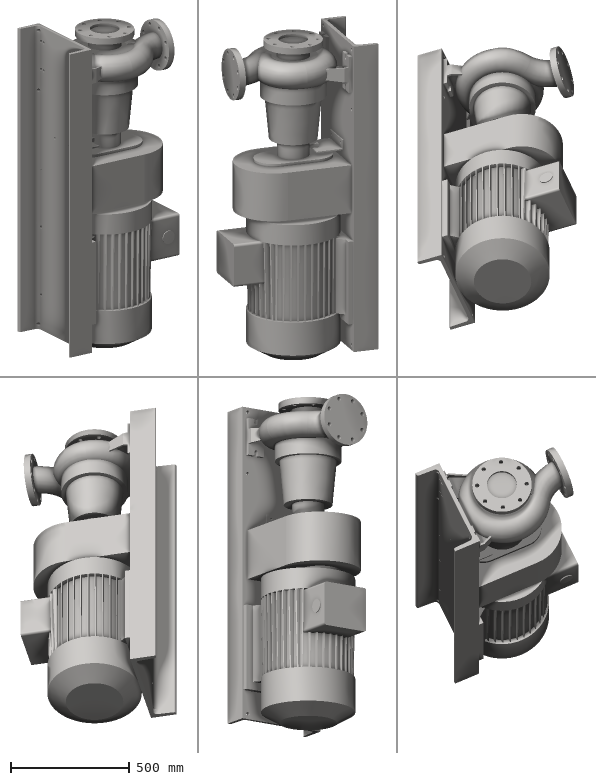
import cadquery as cq
import math


base_length = 1360.0
base_width = 399.0
base_depth = 110.0
web_thickness = 17.0
flange_root = 20.0
flange_tip = 15.0
root_fillet = 18.0
tip_fillet = 8.0

shaft_height = 200.0

guard_radius = 173.0
guard_center_y = 287.0
guard_bottom = 611.0
guard_top = 825.0
cover_thickness = 13.0
cover_radius = 86.0
cover_offset = guard_center_y - shaft_height

motor_radius = 200.0
fin_root_radius = 180.0
fin_end_radius = 193.0
fin_thickness = 4.0
fin_pitch = 9
drum_top = 593.0
fins_top = 502.0
fins_bottom = 159.0
cap_bottom = 11.0
motor_bottom = -35.0
motor_nose_radius = 121.0
motor_shaft_radius = 29.0

foot_bottom = 124.0
foot_top = 492.0
foot_half_width = 195.0
foot_thickness = 24.0
foot_shoulder_x = 162.0
foot_throat_x = 137.0
foot_throat_y = 57.0

box_left = -92.0
box_right = 121.0
box_low = 307.0
box_high = 500.0
box_bottom = 312.0
box_fillet = 11.0
gland_radius = 29.0
gland_length = 4.0
gland_y = 442.0

volute_z = 1230.0
tube_radius = 57.0
spiral_offset = 18.0
spiral_radius = 135.0
rise_radius = 142.0
rise_offset = spiral_offset + spiral_radius - rise_radius
throat_radius = spiral_radius - spiral_offset
throat_sweep = 120
hub_half_length = 52.0
outlet_bend_radius = 188.0

inlet_flange_radius = 125.0
inlet_bolt_radius = 105.0
inlet_top = 1356.0
inlet_bore_radius = 63.0
inlet_bore_depth = 13.0
inlet_neck_radius = 71.0
outlet_flange_radius = 110.0
outlet_bolt_radius = 90.0
outlet_face_y = 481.0
flange_thickness = 28.0
bolt_hole_diameter = 18.0
bolt_count = 8

collar_radius = 141.0
collar_bottom = 1106.0
cone_top_radius = 121.0
cone_bottom_radius = 103.0
cone_bottom = 917.0
spindle_radius = 68.0
spindle_bottom = 841.0

pad_outer_x = 180.0
pad_inner_x = 100.0
pad_thickness = 15.0
pad_length = 160.0
slot_x = 140.0
slot_width = 15.0
slot_spacing = 125.0
wall_thickness = 8.0
wall_knee_y = 36.0
wall_lean = 0.5
wall_top_y = 125.0
wall_base_half = 35.0
wall_top_half = 22.0
rib_inner_x = 80.0
rib_tip_x = 63.0
rib_tip_y = 33.0
foot_web_thickness = 14.0

bracket_half_width = 77.0
bracket_sheet = 5.0
bracket_bottom = 862.0
bracket_top = 907.0
bracket_reach = 121.0
lug_half_width = 21.0
lug_low_y = 92.0
lug_top = 885.0
bracket_hole_x = 55.0
bracket_hole_z = 890.0
bracket_hole_diameter = 10.0

edge_hole_x = 172.0
mount_hole_x = 159.0
base_holes = [
    (edge_hole_x, 1339.0, 15.0),
    (edge_hole_x, 1071.0, 14.0),
    (edge_hole_x, 22.0, 15.0),
    (mount_hole_x, 715.0, 7.0),
    (mount_hole_x, 460.0, 14.0),
    (mount_hole_x, 156.0, 14.0),
    (bracket_hole_x, bracket_hole_z, bracket_hole_diameter),
]
pump_hole_diameter = 14.0
for hole_z in (volute_z - slot_spacing / 2, volute_z + slot_spacing / 2):
    base_holes.append((slot_x, hole_z, pump_hole_diameter))
    base_holes.append((mount_hole_x, hole_z, pump_hole_diameter))


def disc(radius, bottom, top, x=0, y=shaft_height):
    """Round disc about a line parallel to Z."""
    return cq.Workplane("XY", origin=(x, y, bottom)).circle(radius).extrude(top - bottom)


def cone(bottom_radius, top_radius, bottom, top):
    """Cone frustum on the shaft line."""
    solid = cq.Solid.makeCone(
        bottom_radius, top_radius, top - bottom, cq.Vector(0, shaft_height, bottom)
    )
    return cq.Workplane(obj=solid)


def block(x0, x1, y0, y1, z0, z1):
    """Axis-aligned box between two corners."""
    return cq.Workplane("XY").box(x1 - x0, y1 - y0, z1 - z0, centered=False).translate((x0, y0, z0))


def drill_y(x, z, diameter, y0, y1):
    """Round cutter along Y."""
    solid = cq.Solid.makeCylinder(diameter / 2, y1 - y0, cq.Vector(x, y0, z), cq.Vector(0, 1, 0))
    return cq.Workplane(obj=solid)


def with_mirror(shape):
    """Shape joined with its copy across the X = 0 plane."""
    return shape.union(shape.mirror("YZ"))


def make_base():
    """Channel with tapered flanges pointing down and holes through its web."""
    half = base_width / 2
    outline = [
        (-half, 0),
        (half, 0),
        (half, -base_depth),
        (half - flange_tip, -base_depth),
        (half - flange_root, -web_thickness),
        (flange_root - half, -web_thickness),
        (flange_tip - half, -base_depth),
        (-half, -base_depth),
    ]
    base = cq.Workplane("XY").polyline(outline).close().extrude(base_length)
    for fillet, x, y in (
        (root_fillet, half - flange_root, -web_thickness),
        (tip_fillet, half - flange_tip, -base_depth),
    ):
        for side in (-1, 1):
            corner = cq.selectors.NearestToPointSelector((side * x, y, base_length / 2))
            base = base.edges("|Z").edges(corner).fillet(fillet)
    for x, z, diameter in base_holes:
        for side in (-1, 1):
            base = base.cut(drill_y(side * x, z, diameter, -base_depth, 0))
    return base


def make_guard():
    """Round-topped belt guard with a slot-shaped cover plate on each end."""
    height = guard_top - guard_bottom
    guard = disc(guard_radius, guard_bottom, guard_top, y=guard_center_y)
    guard = guard.union(
        block(-guard_radius, guard_radius, 0, guard_center_y, guard_bottom, guard_top)
    )
    cover = (
        cq.Workplane("XY", origin=(0, shaft_height, guard_bottom - cover_thickness))
        .slot2D(2 * (cover_offset + cover_radius), 2 * cover_radius, 90)
        .extrude(height + 2 * cover_thickness)
    )
    return guard.union(cover)


def make_fins():
    """Fins at equal angles, each one straight along X or Y, trimmed to a slight cone."""
    length = fins_top - fins_bottom
    first = fin_pitch / 2
    fins = disc(fin_root_radius, fins_bottom, fins_top)
    for step in range(round(90 / fin_pitch)):
        offset = motor_radius * math.sin(math.radians(first - 45 + step * fin_pitch))
        for width, height, x, y in (
            (2 * motor_radius, fin_thickness, 0, offset),
            (fin_thickness, 2 * motor_radius, offset, 0),
        ):
            fin = (
                cq.Workplane("XY", origin=(x, shaft_height + y, fins_bottom))
                .rect(width, height)
                .extrude(length)
            )
            fins = fins.union(fin)
    return fins.intersect(cone(fin_end_radius, motor_radius, fins_bottom, fins_top))


def make_motor_feet():
    """Foot plate across the motor, with shoulders sloping up to the finned body."""
    plate = block(-foot_half_width, foot_half_width, 0, foot_thickness, foot_bottom, foot_top)
    shoulder = [
        (-foot_shoulder_x, foot_thickness),
        (foot_shoulder_x, foot_thickness),
        (foot_throat_x, foot_throat_y),
        (-foot_throat_x, foot_throat_y),
    ]
    shoulders = (
        cq.Workplane("XY", origin=(0, 0, fins_bottom))
        .polyline(shoulder)
        .close()
        .extrude(foot_top - fins_bottom)
    )
    return plate.union(shoulders)


def make_terminal_box():
    """Terminal box with rounded long edges and a cable gland on its +X side."""
    box = block(box_left, box_right, box_low, box_high, box_bottom, fins_top)
    box = box.edges("|Y").fillet(box_fillet)
    gland_z = (box_bottom + fins_top) / 2
    gland = (
        cq.Workplane("YZ", origin=(box_right, gland_y, gland_z))
        .circle(gland_radius)
        .extrude(gland_length)
    )
    return box.union(gland)


def make_motor():
    """Finned motor with drum ends, tapered nose, feet, terminal box and shaft."""
    motor = disc(motor_radius, fins_top, drum_top)
    motor = motor.union(make_fins())
    motor = motor.union(disc(motor_radius, cap_bottom, fins_bottom))
    motor = motor.union(cone(motor_nose_radius, motor_radius, motor_bottom, cap_bottom))
    motor = motor.union(make_motor_feet())
    motor = motor.union(make_terminal_box())
    return motor.union(disc(motor_shaft_radius, drum_top, guard_bottom - cover_thickness))


def tube_bend(center_x, center_y, radius, start_angle, sweep):
    """Round tube bent about a line parallel to Z, turning counter-clockwise by sweep degrees."""
    bend = (
        cq.Workplane("XZ")
        .center(radius, 0)
        .circle(tube_radius)
        .revolve(sweep, (-radius, 0, 0), (-radius, 1, 0))
    )
    return bend.rotate((0, 0, 0), (0, 0, 1), start_angle).translate((center_x, center_y, volute_z))


def make_volute():
    """Snail-shaped tube whose outlet bends back to the upright flange."""
    center_distance = rise_radius + outlet_bend_radius
    join = math.degrees(math.acos((outlet_bend_radius - rise_offset) / center_distance))
    outlet_y = shaft_height + center_distance * math.sin(math.radians(join))
    spiral = tube_bend(spiral_offset, shaft_height, spiral_radius, 180, 180)
    rise = tube_bend(rise_offset, shaft_height, rise_radius, 0, join)
    outlet = tube_bend(outlet_bend_radius, outlet_y, outlet_bend_radius, 180, join)
    throat = tube_bend(0, shaft_height, throat_radius, 180 - throat_sweep, throat_sweep)
    hub = disc(
        spiral_radius, volute_z - hub_half_length, volute_z + hub_half_length, x=spiral_offset
    )
    return hub.union(throat).union(spiral).union(rise).union(outlet)


def make_flange(radius, bolt_radius):
    """Flange disc with a ring of bolt holes, centered on the origin and facing +Z."""
    return (
        cq.Workplane("XY")
        .circle(radius)
        .extrude(-flange_thickness)
        .faces(">Z")
        .workplane()
        .polarArray(bolt_radius, 180 / bolt_count, 360, bolt_count)
        .hole(bolt_hole_diameter)
    )


def make_pump_foot():
    """Slotted pad at -X with a tapered outer wall, an inner rib and a web up to the volute."""
    wall_top_x = pad_outer_x - wall_lean * (wall_top_y - wall_knee_y)
    wall = [
        (-pad_outer_x, 0),
        (-pad_outer_x, wall_knee_y),
        (-wall_top_x, wall_top_y),
        (wall_thickness - wall_top_x, wall_top_y),
        (wall_thickness - pad_outer_x, wall_knee_y),
        (wall_thickness - pad_outer_x, 0),
    ]
    rib = [
        (-pad_inner_x, 0),
        (-pad_inner_x, pad_thickness),
        (-rib_tip_x, rib_tip_y),
        (rib_inner_x - pad_inner_x - rib_tip_x, rib_tip_y),
        (-rib_inner_x, pad_thickness),
        (-rib_inner_x, 0),
    ]
    web = [
        (-pad_outer_x, 0),
        (-pad_outer_x, wall_knee_y),
        (-wall_top_x, wall_top_y),
        (-rib_tip_x, rib_tip_y),
        (-pad_inner_x, 0),
    ]
    side_taper = [
        (0, -wall_base_half),
        (wall_top_y, -wall_top_half),
        (wall_top_y, wall_top_half),
        (0, wall_base_half),
    ]
    level = cq.Workplane("XY", origin=(0, 0, volute_z))
    walls = level.polyline(wall).close().extrude(wall_base_half, both=True)
    walls = walls.union(level.polyline(rib).close().extrude(wall_base_half, both=True))
    taper = (
        cq.Workplane("YZ", origin=(0, 0, volute_z))
        .polyline(side_taper)
        .close()
        .extrude(-pad_outer_x)
    )
    foot = walls.intersect(taper)
    foot = foot.union(level.polyline(web).close().extrude(foot_web_thickness / 2, both=True))
    pad_bottom = volute_z - pad_length / 2
    pad_top = volute_z + pad_length / 2
    pad = block(-pad_outer_x, -pad_inner_x, 0, pad_thickness, pad_bottom, pad_top)
    for side in (-1, 1):
        slot_z = volute_z + side * slot_spacing / 2
        end_z = volute_z + side * pad_length / 2
        opening = block(
            -slot_x - slot_width / 2,
            -slot_x + slot_width / 2,
            0,
            pad_thickness,
            min(slot_z, end_z),
            max(slot_z, end_z),
        )
        pad = pad.cut(opening).cut(drill_y(-slot_x, slot_z, slot_width, 0, pad_thickness))
    return foot.union(pad)


def make_bracket():
    """Bent sheet bolted to the channel, with a lug that carries the bearing frame."""
    leg = block(
        -bracket_half_width, bracket_half_width, 0, bracket_sheet, bracket_bottom, bracket_top
    )
    for side in (-1, 1):
        leg = leg.cut(
            drill_y(
                side * bracket_hole_x, bracket_hole_z, bracket_hole_diameter, 0, bracket_sheet
            )
        )
    sheet_top = bracket_bottom + bracket_sheet
    shelf = block(
        -bracket_half_width, bracket_half_width, 0, bracket_reach, bracket_bottom, sheet_top
    )
    lug = block(-lug_half_width, lug_half_width, lug_low_y, shaft_height, sheet_top, lug_top)
    return leg.union(shelf).union(lug)


def make_pump():
    """Pump casing with inlet and outlet flanges, bearing frame, feet and bracket."""
    pump = make_volute()
    pump = pump.union(disc(inlet_neck_radius, volute_z, inlet_top - flange_thickness))
    inlet = make_flange(inlet_flange_radius, inlet_bolt_radius)
    inlet = inlet.faces(">Z").workplane().hole(2 * inlet_bore_radius, inlet_bore_depth)
    pump = pump.union(inlet.translate((0, shaft_height, inlet_top)))
    outlet = make_flange(outlet_flange_radius, outlet_bolt_radius)
    outlet = outlet.rotate((0, 0, 0), (1, 0, 0), -90)
    pump = pump.union(outlet.translate((0, outlet_face_y, volute_z)))
    pump = pump.union(disc(collar_radius, collar_bottom, volute_z))
    pump = pump.union(cone(cone_bottom_radius, cone_top_radius, cone_bottom, collar_bottom))
    pump = pump.union(disc(spindle_radius, spindle_bottom, cone_bottom))
    pump = pump.union(with_mirror(make_pump_foot()))
    return pump.union(make_bracket())


base = make_base()
guard = make_guard()
motor = make_motor()
pump = make_pump()

result = cq.Compound.makeCompound([body.solids().val() for body in (base, guard, motor, pump)])